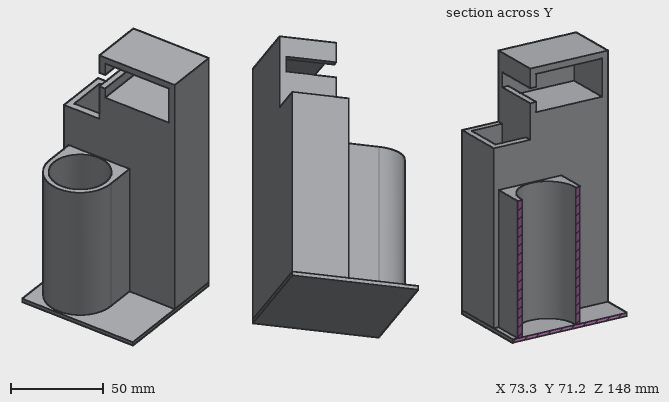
import cadquery as cq

plate_length = 73.3
plate_width = 71.2
plate_thickness = 2.2

total_height = 148.0
housing_depth = 32.0
housing_front = plate_width - housing_depth
wall = 3.8
bin_front_wall = 4.3
bin_top = 106.7
tower_left = 23.4

compartment_floor = 122.0
slot_bottom = 127.9
slot_top = 136.6

cup_width = 40.3
cup_bore = 34.0
cup_top = 81.8
cup_axis_x = 23.2
cup_axis_offset = 17.8
cup_axis_y = housing_front - cup_axis_offset


def block(x_range, y_range, z_range):
    """Box spanning the given ranges along X, Y and Z."""
    (x0, x1), (y0, y1), (z0, z1) = x_range, y_range, z_range
    return cq.Workplane("XY").box(x1 - x0, y1 - y0, z1 - z0, centered=False).translate((x0, y0, z0))


def make_plate():
    return block((0, plate_length), (0, plate_width), (0, plate_thickness))


def make_housing():
    body = (
        cq.Workplane("XZ", origin=(0, plate_width, 0))
        .moveTo(0, plate_thickness)
        .lineTo(plate_length, plate_thickness)
        .lineTo(plate_length, total_height)
        .lineTo(tower_left, total_height)
        .lineTo(tower_left, bin_top)
        .lineTo(0, bin_top)
        .close()
        .extrude(housing_depth)
    )
    inner_back = plate_width - wall

    bin_pocket = block(
        (wall, tower_left),
        (housing_front + bin_front_wall, inner_back),
        (plate_thickness, bin_top),
    )
    compartment = block(
        (tower_left + wall, plate_length - wall),
        (housing_front, inner_back),
        (compartment_floor, total_height - wall),
    )
    slot = block(
        (tower_left, tower_left + wall),
        (housing_front, inner_back),
        (slot_bottom, slot_top),
    )
    return body.cut(bin_pocket).cut(compartment).cut(slot)


def make_cup():
    radius = cup_width / 2
    cup_height = cup_top - plate_thickness
    base = cq.Workplane("XY", origin=(cup_axis_x, cup_axis_y, plate_thickness))
    body = (
        base.moveTo(-radius, cup_axis_offset)
        .lineTo(-radius, 0)
        .threePointArc((0, -radius), (radius, 0))
        .lineTo(radius, cup_axis_offset)
        .close()
        .extrude(cup_height)
    )
    return body.cut(base.circle(cup_bore / 2).extrude(cup_height))


plate = make_plate()
housing = make_housing()
cup = make_cup()

result = cq.Compound.makeCompound([plate.val(), housing.val(), cup.val()])